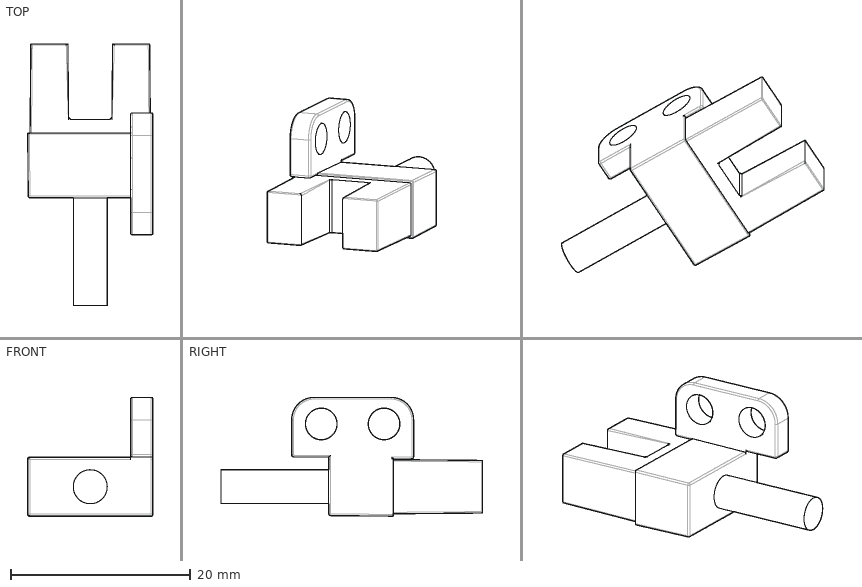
import cadquery as cq
import math


body_width = 14.0
body_height = 6.6
body_length = 7.2
draft_angle = 0.5
edge_radius = 0.2
fork_side_edge_radius = 0.1

cable_diameter = 3.8
cable_length = 12.03

overall_length = 29.2
fork_width = 13.45
fork_height = 6.07
fork_edge_radius = 0.18
tip_edge_radius = 0.12
slot_depth = 8.4
fork_root_depth = 0.58
slot_tip_width = 4.95
slot_corner_chamfer = 0.23
slot_edge_tip_radius = 0.2
slot_edge_floor_radius = 0.03

plate_thickness = 2.48
plate_top_above_body = 6.7
plate_cable_overhang = 4.15
plate_fork_overhang = 2.28
plate_fork_side_drop = 0.2
plate_corner_radius = 2.5
plate_bottom_edge_radius = 0.3
plate_root_depth = 0.58
hole_diameter = 3.5
hole_spacing = 7.0
hole_below_top = 2.98

draft = math.tan(math.radians(draft_angle))
side_x = body_width / 2
body_top = body_height / 2
fork_length = overall_length - cable_length - body_length
tip_y = body_length + fork_length
slot_floor_y = tip_y - slot_depth
plate_length = plate_cable_overhang + body_length + plate_fork_overhang
plate_mid_y = plate_length / 2 - plate_cable_overhang
plate_top = body_top + plate_top_above_body


def section(y, x_min, x_max, half_height):
    """Rectangular wire across the Y axis."""
    corners = [(x_min, -half_height), (x_max, -half_height), (x_max, half_height), (x_min, half_height)]
    return cq.Wire.makePolygon([cq.Vector(x, y, z) for x, z in corners], close=True)


def drafted_block(start, end):
    """Straight-sided block between two sections."""
    return cq.Workplane(cq.Solid.makeLoft([start, end], True))


def make_body():
    shrink = body_length * draft
    block = drafted_block(
        section(0, -side_x + shrink, side_x, body_top - shrink),
        section(body_length, -side_x, side_x, body_top),
    )
    rounded = block.edges("not >Y").fillet(edge_radius)
    return rounded.faces(">Y").edges().fillet(fork_side_edge_radius)


def fork_shrink(y):
    """How far each fork side has leaned inwards at y, measured from the body face."""
    return (y - body_length) * draft


def slot_half_width(y):
    return slot_tip_width / 2 - (tip_y - y) * draft


def rounding_section(y, radius):
    """Area that a rounded edge removes from the corner of slot wall and fork top at y."""
    wall_x = slot_half_width(y)
    top_z = fork_height / 2 - fork_shrink(y)
    diagonal = radius * (1 - math.sqrt(0.5))
    corner = cq.Vector(wall_x, y, top_z)
    on_wall = cq.Vector(wall_x, y, top_z - radius)
    on_top = cq.Vector(wall_x + radius, y, top_z)
    arc_middle = cq.Vector(wall_x + diagonal, y, top_z - diagonal)
    return cq.Wire.assembleEdges([
        cq.Edge.makeLine(on_wall, corner),
        cq.Edge.makeLine(corner, on_top),
        cq.Edge.makeThreePointArc(on_top, arc_middle, on_wall),
    ])


def make_slot():
    chamfer_y = slot_floor_y + slot_corner_chamfer
    tip_half = slot_half_width(tip_y)
    chamfer_half = slot_half_width(chamfer_y)
    floor_half = chamfer_half - slot_corner_chamfer
    return (
        cq.Workplane("XY")
        .moveTo(-tip_half, tip_y)
        .lineTo(-chamfer_half, chamfer_y)
        .lineTo(-floor_half, slot_floor_y)
        .lineTo(floor_half, slot_floor_y)
        .lineTo(chamfer_half, chamfer_y)
        .lineTo(tip_half, tip_y)
        .close()
        .extrude(body_height, both=True)
    )


def make_fork():
    root_y = body_length - fork_root_depth
    root_shrink = fork_shrink(root_y)
    tip_shrink = fork_shrink(tip_y)
    root_x = fork_width / 2 - root_shrink
    tip_x = fork_width / 2 - tip_shrink
    fork = drafted_block(
        section(root_y, -root_x, root_x, fork_height / 2 - root_shrink),
        section(tip_y, -tip_x, tip_x, fork_height / 2 - tip_shrink),
    )
    fork = fork.edges("not (<Y or >Y)").fillet(fork_edge_radius)
    fork = fork.faces(">Y").edges().fillet(tip_edge_radius)
    fork = fork.cut(make_slot())

    rounding = drafted_block(
        rounding_section(slot_floor_y, slot_edge_floor_radius),
        rounding_section(tip_y, slot_edge_tip_radius),
    )
    for side in (rounding, rounding.mirror("YZ")):
        fork = fork.cut(side).cut(side.mirror("XY"))
    return fork


def make_plate():
    inner_x = side_x - plate_thickness
    cable_y = -plate_cable_overhang
    fork_y = body_length + plate_fork_overhang
    bottom_z = body_top - plate_fork_side_drop
    root_z = body_top - plate_root_depth
    plate = (
        cq.Workplane("YZ", origin=(inner_x, 0, 0))
        .moveTo(cable_y, body_top)
        .lineTo(0, body_top)
        .lineTo(0, root_z)
        .lineTo(body_length, root_z)
        .lineTo(body_length, bottom_z)
        .lineTo(fork_y, bottom_z)
        .lineTo(fork_y, plate_top)
        .lineTo(cable_y, plate_top)
        .close()
        .extrude(plate_thickness)
    )
    plate = plate.edges("|X").edges(">Z").fillet(plate_corner_radius)
    plate = plate.edges("|X").edges("<Y or >Y").edges("not (>Z)").fillet(plate_bottom_edge_radius)
    root_edges = cq.selectors.BoxSelector(
        (inner_x - edge_radius, -edge_radius, root_z - edge_radius),
        (inner_x + edge_radius, body_length + edge_radius, bottom_z),
    )
    outline = cq.selectors.SubtractSelector(cq.selectors.StringSyntaxSelector("not (|X)"), root_edges)
    plate = plate.faces("<X or >X").edges(outline).fillet(edge_radius)
    return plate


def make_holes():
    return (
        cq.Workplane("YZ", origin=(0, plate_mid_y, plate_top - hole_below_top))
        .pushPoints([(-hole_spacing / 2, 0), (hole_spacing / 2, 0)])
        .circle(hole_diameter / 2)
        .extrude(side_x)
    )


def make_cable():
    return cq.Workplane("XZ").circle(cable_diameter / 2).extrude(cable_length)


result = make_body().union(make_fork()).union(make_plate()).cut(make_holes()).union(make_cable())